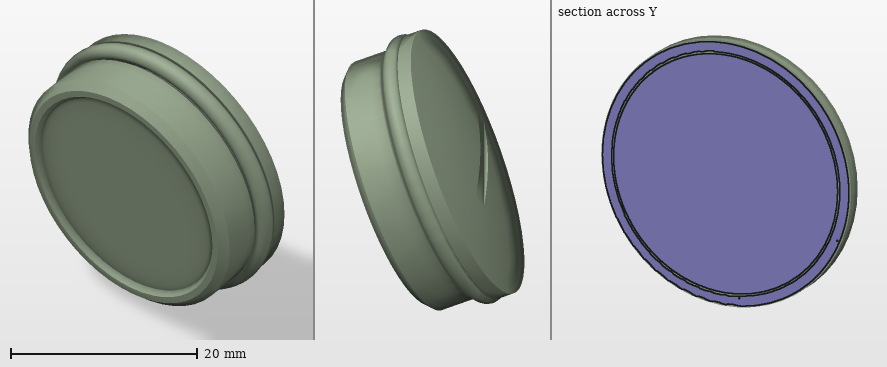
import cadquery as cq

height = 10.98
ring_outer_radius = 15.25
ring_section_radius = 1.0
ring_center_radius = ring_outer_radius - ring_section_radius
ring_center_y = 6.5

body_radius = 28.3 / 2
face_radius = 26.5 / 2
bottom_chamfer = body_radius - face_radius
groove_radius = 13.48
groove_bottom_y = 5.52
groove_chamfer = 0.45

flange_radius = 30.0 / 2
flange_bottom_y = 7.47
flange_top_y = 9.03
dome_height = height - flange_top_y
dome_radius = (flange_radius**2 + dome_height**2) / (2 * dome_height)
dome_mid_x = flange_radius / 2
dome_mid_y = height - dome_radius + (dome_radius**2 - dome_mid_x**2) ** 0.5

recess_mouth_radius = 12.5
recess_floor_radius = 12.02
recess_depth = 0.6

slot_width = 2.0
slot_depth = 0.5


def make_plug():
    """Body, groove, flange, dome and recess as one revolved half section."""
    section = (
        cq.Workplane("XY")
        .moveTo(0, recess_depth)
        .lineTo(recess_floor_radius, recess_depth)
        .lineTo(recess_mouth_radius, 0)
        .lineTo(face_radius, 0)
        .lineTo(body_radius, bottom_chamfer)
        .lineTo(body_radius, groove_bottom_y - groove_chamfer)
        .lineTo(body_radius - groove_chamfer, groove_bottom_y)
        .lineTo(groove_radius, groove_bottom_y)
        .lineTo(groove_radius, flange_bottom_y)
        .lineTo(flange_radius, flange_bottom_y)
        .lineTo(flange_radius, flange_top_y)
        .threePointArc((dome_mid_x, dome_mid_y), (0, height))
        .close()
    )
    return section.revolve(360, (0, 0, 0), (0, 1, 0))


def make_ring():
    """Sealing ring of round section, its seam hidden inside the groove."""
    section = cq.Workplane("XY").center(-ring_center_radius, ring_center_y).circle(ring_section_radius)
    return section.revolve(360, (ring_center_radius, 0, 0), (ring_center_radius, 1, 0))


def make_slot():
    """Straight slot along Z, cut down from the top of the dome."""
    cutter_height = 2 * slot_depth
    cutter = cq.Workplane("XY").box(slot_width, cutter_height, 2 * flange_radius)
    return cutter.translate((0, height, 0))


result = make_plug().cut(make_slot()).union(make_ring())